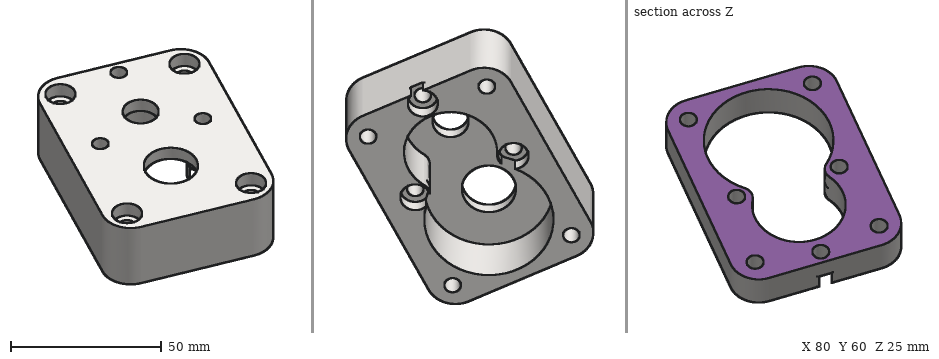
import cadquery as cq
import math

LENGTH = 80.0
WIDTH = 60.0
HEIGHT = 25.0
CORNER_RADIUS = 10.0

BORE_SPACING = 29.0
SMALL_BORE_X = -BORE_SPACING / 2
LARGE_BORE_X = BORE_SPACING / 2
SMALL_BORE_DIAMETER = 12.0
LARGE_BORE_DIAMETER = 18.0

TOP_THICKNESS = 5.0
POCKET_DEPTH = HEIGHT - TOP_THICKNESS
SMALL_POCKET_RADIUS = 15.5
LARGE_POCKET_RADIUS = 21.5
POCKET_BLEND_RADIUS = 4.5

SCREW_DIAMETER = 5.5
SCREW_HEAD_DIAMETER = 10.0
SCREW_HEAD_DEPTH = 5.4
CORNER_SCREW_INSET = 8.0
RING_SCREW_RADIUS = 21.0
RING_SCREW_COUNT = 3


def cylinder(x, y, diameter, bottom, height):
    """Upright cylinder standing on the level `bottom`."""
    return cq.Workplane("XY", origin=(x, y, bottom)).circle(diameter / 2).extrude(height)


def screw_hole(x, y, head_bottom):
    """Through hole with a counterbore that starts at the level `head_bottom`."""
    shank = cylinder(x, y, SCREW_DIAMETER, 0, HEIGHT)
    head = cylinder(x, y, SCREW_HEAD_DIAMETER, head_bottom, SCREW_HEAD_DEPTH)
    return shank.union(head)


def make_block():
    """Plain block with rounded upright corners."""
    block = cq.Workplane("XY").box(LENGTH, WIDTH, HEIGHT, centered=(True, True, False))
    return block.edges("|Z").fillet(CORNER_RADIUS)


def make_pocket():
    """Two overlapping round pockets with the two edges where they meet rounded."""
    small = cylinder(SMALL_BORE_X, 0, 2 * SMALL_POCKET_RADIUS, 0, POCKET_DEPTH)
    large = cylinder(LARGE_BORE_X, 0, 2 * LARGE_POCKET_RADIUS, 0, POCKET_DEPTH)
    pocket = small.union(large)

    radius_term = SMALL_POCKET_RADIUS**2 - LARGE_POCKET_RADIUS**2
    along = (radius_term + BORE_SPACING**2) / (2 * BORE_SPACING)
    across = math.sqrt(SMALL_POCKET_RADIUS**2 - along**2)
    for side in (-1, 1):
        meeting_point = (SMALL_BORE_X + along, side * across, POCKET_DEPTH / 2)
        meeting_edge = cq.selectors.NearestToPointSelector(meeting_point)
        pocket = pocket.edges(meeting_edge).fillet(POCKET_BLEND_RADIUS)
    return pocket


def cut_bores(body):
    """Round openings from the top face into the pocket."""
    body = body.cut(cylinder(SMALL_BORE_X, 0, SMALL_BORE_DIAMETER, 0, HEIGHT))
    return body.cut(cylinder(LARGE_BORE_X, 0, LARGE_BORE_DIAMETER, 0, HEIGHT))


def cut_corner_screws(body):
    """Four corner holes, counterbored from the top."""
    for x_side in (-1, 1):
        for y_side in (-1, 1):
            x = x_side * (LENGTH / 2 - CORNER_SCREW_INSET)
            y = y_side * (WIDTH / 2 - CORNER_SCREW_INSET)
            body = body.cut(screw_hole(x, y, HEIGHT - SCREW_HEAD_DEPTH))
    return body


def cut_ring_screws(body):
    """Ring of holes around the small bore, counterbored from the bottom.

    The counterbore nearest the -X side breaks out through that side.
    """
    for number in range(RING_SCREW_COUNT):
        angle = math.pi + number * 2 * math.pi / RING_SCREW_COUNT
        x = SMALL_BORE_X + RING_SCREW_RADIUS * math.cos(angle)
        y = RING_SCREW_RADIUS * math.sin(angle)
        body = body.cut(screw_hole(x, y, 0))
    return body


result = make_block().cut(make_pocket())
result = cut_bores(result)
result = cut_corner_screws(result)
result = cut_ring_screws(result)